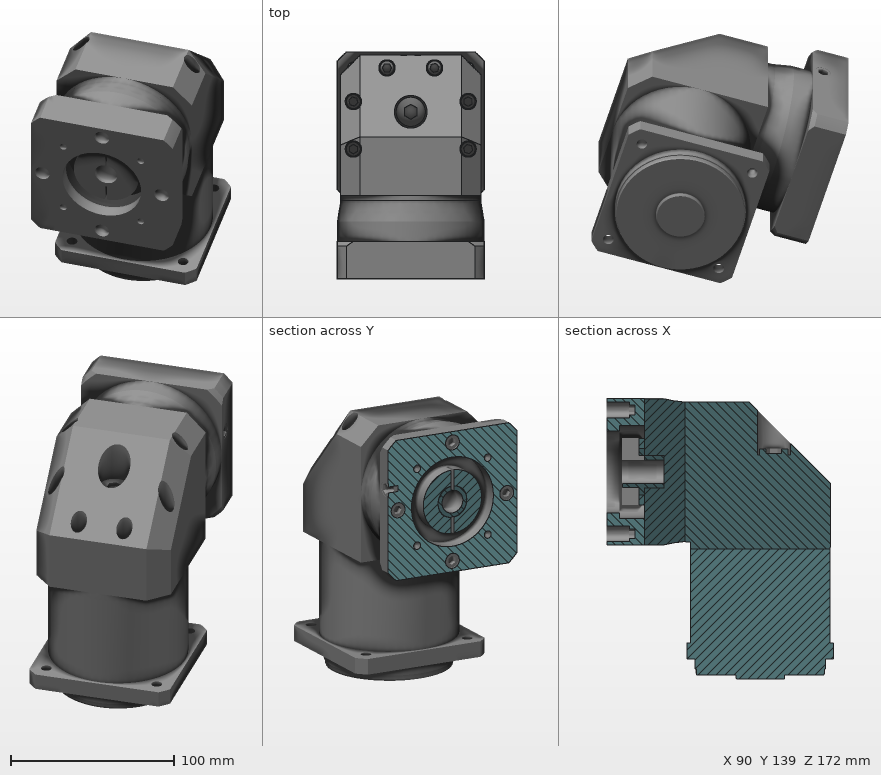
import cadquery as cq
import math


TOTAL_HEIGHT = 172.0
TOTAL_LENGTH = 139.0
FLANGE_SIDE = 90.0
FLANGE_CORNER_RADIUS = 59.7
HOUSING_WIDTH = 86.0
CLEARANCE = 1.7
CORNER_UP = 90

HALF_FLANGE = FLANGE_SIDE / 2
HALF_HOUSING = HOUSING_WIDTH / 2
INPUT_Z = TOTAL_HEIGHT - HALF_FLANGE

SHAFT_RADIUS = 15.0
SHAFT_CHAMFER = 0.7
PILOT_BOTTOM_Z = 2.5
PILOT_END_RADIUS = 39.4
PILOT_CHAMFER_HEIGHT = 1.0
PILOT_CHAMFER_DEPTH = 0.3
PILOT_STEP_Z = 6.2
PILOT_RADIUS = 40.0
FLANGE_BOTTOM_Z = 12.4
FLANGE_TOP_Z = 22.4
FLANGE_HOLE_RADIUS = 3.3
FLANGE_HOLE_OFFSET = 35.3

HOUSING_BOTTOM_Z = INPUT_Z - HALF_HOUSING
HOUSING_TOP_Z = INPUT_Z + HALF_HOUSING
SLOPE_LEG = 50.0
HOUSING_CHAMFER = 12.0
OUTPUT_SPIGOT = 4.1
INPUT_SPIGOT = 3.1
GEARBOX_TOP_Z = HOUSING_BOTTOM_Z - OUTPUT_SPIGOT

SCREW_CIRCLE_RADIUS = 38.0
SCREW_POSITIONS = 8
SCREW_START_ANGLE = 180 / SCREW_POSITIONS
SCREW_COUNT = 6
SCREW_FIRST = -1
SCREW_HOLE_RADIUS = 5.0
SCREW_HEAD_RADIUS = 4.3
SCREW_HEAD_HEIGHT = 5.2
SCREW_SEAT_Z = 111.8
SCREW_HEX = 5.0
SCREW_HEX_DEPTH = 3.5
SCREW_HEX_TURN = 7.5

PLUG_Y = 8.3
PLUG_HOLE_RADIUS = 10.0
PLUG_RADIUS = 9.0
PLUG_SEAT_Z = 137.6
PLUG_HEIGHT = 3.5
PLUG_HEX = 7.9
PLUG_HEX_DEPTH = 2.5

ADAPTER_START = HALF_HOUSING + INPUT_SPIGOT
ADAPTER_RADIUS = 44.9
CONE_START = 47.5
CONE_END = 59.0
PLATE_BACK = 71.0
PLATE_FRONT = TOTAL_LENGTH - HALF_FLANGE
PLATE_CHAMFER_LENGTH = 3.0
PLATE_CHAMFER_DEPTH = 2.5
MOTOR_PILOT_RADIUS = 25.0
MOTOR_PILOT_DEPTH = 8.0
CLAMP_ROOM_RADIUS = 28.4

PLATE_SCREW_CIRCLE_RADIUS = 37.8
PLATE_SCREW_HOLE_RADIUS = 4.6
PLATE_SCREW_SEAT_DEPTH = 13.8
PLATE_SCREW_HEX = 4.8
PLATE_SCREW_HEX_DEPTH = 3.5
TAP_OFFSET = 24.6
TAP_RADIUS = 2.2
TAP_DEPTH = 13.8
DRILL_POINT_ANGLE = 118.0

ACCESS_DISTANCE = 77.7
ACCESS_HEIGHT = 14.0
ACCESS_RADIUS = 5.0
ACCESS_RECESS = 0.2
ACCESS_HEX = 6.0
ACCESS_HEX_DEPTH = 6.9

CLAMP_DEPTH = 9.5
CLAMP_FACE = PLATE_FRONT - CLAMP_DEPTH
COLLAR_RADIUS = 20.5
SLEEVE_RADIUS = 9.8
SLEEVE_BORE_RADIUS = 7.0
SLEEVE_END = CONE_END
SHOULDER_RADIUS = 14.1
SHOULDER_THICKNESS = 3.5
SHOULDER_FACE = PLATE_BACK + SHOULDER_THICKNESS
SLOT_WIDTH = 1.5


def input_plane(distance):
    """Workplane across the input axis, at a distance towards -Y and facing -Y."""
    return cq.Workplane("XZ", origin=(0, -distance, INPUT_Z))


def input_disc(radius, start, end):
    """Cylinder on the input axis between two distances."""
    return input_plane(start).circle(radius).extrude(end - start)


def input_turned(profile):
    """Solid turned around the input axis from (radius, distance) points."""
    points = [(radius, -distance) for radius, distance in profile]
    turned = cq.Workplane("XY").polyline(points).close().revolve(360, (0, 0, 0), (0, 1, 0))
    return turned.translate((0, 0, INPUT_Z))


def hex_socket(plane, flats, depth, corner_angle):
    """Hexagonal prism that goes from a plane against its normal, with a corner at the given angle."""
    corner_diameter = flats / math.cos(math.pi / 6)
    turned = plane.transformed(rotate=(0, 0, corner_angle))
    return turned.polygon(6, corner_diameter).extrude(-depth)


def make_output_gearbox():
    profile = [
        (0, 0),
        (SHAFT_RADIUS - SHAFT_CHAMFER, 0),
        (SHAFT_RADIUS, SHAFT_CHAMFER),
        (SHAFT_RADIUS, PILOT_BOTTOM_Z),
        (PILOT_END_RADIUS - PILOT_CHAMFER_DEPTH, PILOT_BOTTOM_Z),
        (PILOT_END_RADIUS, PILOT_BOTTOM_Z + PILOT_CHAMFER_HEIGHT),
        (PILOT_END_RADIUS, PILOT_STEP_Z),
        (PILOT_RADIUS, PILOT_STEP_Z),
        (PILOT_RADIUS, FLANGE_BOTTOM_Z),
        (HALF_HOUSING, FLANGE_BOTTOM_Z),
        (HALF_HOUSING, GEARBOX_TOP_Z),
        (0, GEARBOX_TOP_Z),
    ]
    turned = cq.Workplane("XZ").polyline(profile).close().revolve(360, (0, 0, 0), (0, 1, 0))

    thickness = FLANGE_TOP_Z - FLANGE_BOTTOM_Z
    base = cq.Workplane("XY", origin=(0, 0, FLANGE_BOTTOM_Z))
    corner_disc = base.circle(FLANGE_CORNER_RADIUS).extrude(thickness)
    flange = base.rect(FLANGE_SIDE, FLANGE_SIDE).extrude(thickness).intersect(corner_disc)
    hole_square = base.rect(2 * FLANGE_HOLE_OFFSET, 2 * FLANGE_HOLE_OFFSET, forConstruction=True)
    holes = hole_square.vertices().circle(FLANGE_HOLE_RADIUS).extrude(thickness)
    return turned.union(flange.cut(holes))


def make_housing_block():
    """Square block with a 45 degree slope at the top rear and a chamfered outline."""
    outline = [
        (-HALF_HOUSING, HOUSING_BOTTOM_Z),
        (HALF_HOUSING, HOUSING_BOTTOM_Z),
        (HALF_HOUSING, HOUSING_TOP_Z - SLOPE_LEG),
        (HALF_HOUSING - SLOPE_LEG, HOUSING_TOP_Z),
        (-HALF_HOUSING, HOUSING_TOP_Z),
    ]
    block = cq.Workplane("YZ").polyline(outline).close().extrude(HALF_HOUSING, both=True)
    rear_and_top = block.faces(">Y or >Z or >(0, 1, 1)")
    return rear_and_top.edges("not |X").chamfer(HOUSING_CHAMFER)


def cap_screw_pocket(x, y, corner_angle):
    """Material removed around one sunk cap screw: the open hole less the head, plus its socket."""
    seat = cq.Workplane("XY", origin=(x, y, SCREW_SEAT_Z))
    hole = seat.circle(SCREW_HOLE_RADIUS).extrude(HOUSING_TOP_Z - SCREW_SEAT_Z)
    head = seat.circle(SCREW_HEAD_RADIUS).extrude(SCREW_HEAD_HEIGHT)
    head_top = seat.workplane(offset=SCREW_HEAD_HEIGHT)
    return hole.cut(head).union(hex_socket(head_top, SCREW_HEX, SCREW_HEX_DEPTH, corner_angle))


def oil_plug_pocket():
    seat = cq.Workplane("XY", origin=(0, PLUG_Y, PLUG_SEAT_Z))
    hole = seat.circle(PLUG_HOLE_RADIUS).extrude(HOUSING_TOP_Z - PLUG_SEAT_Z)
    plug = seat.circle(PLUG_RADIUS).extrude(PLUG_HEIGHT)
    plug_top = seat.workplane(offset=PLUG_HEIGHT)
    return hole.cut(plug).union(hex_socket(plug_top, PLUG_HEX, PLUG_HEX_DEPTH, CORNER_UP))


def make_bevel_housing():
    housing = make_housing_block()
    spigot = cq.Workplane("XY", origin=(0, 0, GEARBOX_TOP_Z)).circle(HALF_HOUSING)
    housing = housing.union(spigot.extrude(OUTPUT_SPIGOT))
    housing = housing.union(input_disc(HALF_HOUSING, HALF_HOUSING, ADAPTER_START))
    for index in range(SCREW_FIRST, SCREW_FIRST + SCREW_COUNT):
        angle = SCREW_START_ANGLE + index * 360 / SCREW_POSITIONS
        x = SCREW_CIRCLE_RADIUS * math.cos(math.radians(angle))
        y = SCREW_CIRCLE_RADIUS * math.sin(math.radians(angle))
        housing = housing.cut(cap_screw_pocket(x, y, angle + SCREW_HEX_TURN))
    return housing.cut(oil_plug_pocket())


def make_adapter():
    profile = [
        (0, ADAPTER_START),
        (HALF_HOUSING, ADAPTER_START),
        (HALF_HOUSING, CONE_START),
        (ADAPTER_RADIUS, CONE_END),
        (ADAPTER_RADIUS, PLATE_BACK),
        (0, PLATE_BACK),
    ]
    sleeve_seat = input_disc(SLEEVE_RADIUS, SLEEVE_END, PLATE_BACK)
    return input_turned(profile).cut(sleeve_seat)


def plate_blank():
    """Square plate with turned corners, relieved by a cone at the rear."""
    square = input_plane(PLATE_BACK).rect(FLANGE_SIDE, FLANGE_SIDE).extrude(PLATE_FRONT - PLATE_BACK)
    corner_profile = [
        (0, PLATE_BACK),
        (FLANGE_CORNER_RADIUS - PLATE_CHAMFER_DEPTH, PLATE_BACK),
        (FLANGE_CORNER_RADIUS, PLATE_BACK + PLATE_CHAMFER_LENGTH),
        (FLANGE_CORNER_RADIUS, PLATE_FRONT),
        (0, PLATE_FRONT),
    ]
    return square.intersect(input_turned(corner_profile))


def plate_screw_pocket(angle):
    """Sunk screw in the plate: round hole down to the head, and the hex socket in the head."""
    x = PLATE_SCREW_CIRCLE_RADIUS * math.cos(math.radians(angle))
    z = PLATE_SCREW_CIRCLE_RADIUS * math.sin(math.radians(angle))
    head = input_plane(PLATE_FRONT - PLATE_SCREW_SEAT_DEPTH).center(x, z)
    hole = head.circle(PLATE_SCREW_HOLE_RADIUS).extrude(PLATE_SCREW_SEAT_DEPTH)
    return hole.union(hex_socket(head, PLATE_SCREW_HEX, PLATE_SCREW_HEX_DEPTH, angle))


def tapped_hole(x, z):
    """Blind drilled hole from the plate front, with a conical end."""
    point_depth = TAP_RADIUS / math.tan(math.radians(DRILL_POINT_ANGLE / 2))
    profile = [
        (0, PLATE_FRONT),
        (TAP_RADIUS, PLATE_FRONT),
        (TAP_RADIUS, PLATE_FRONT - TAP_DEPTH),
        (0, PLATE_FRONT - TAP_DEPTH - point_depth),
    ]
    return input_turned(profile).translate((x, 0, z))


def access_plug_pocket():
    """Shallow round recess and hex socket of the plug in the -X side."""
    side = cq.Workplane("YZ", origin=(-HALF_FLANGE, -ACCESS_DISTANCE, INPUT_Z + ACCESS_HEIGHT))
    recess = side.circle(ACCESS_RADIUS).extrude(ACCESS_RECESS)
    socket_floor = side.workplane(offset=ACCESS_HEX_DEPTH)
    return recess.union(hex_socket(socket_floor, ACCESS_HEX, ACCESS_HEX_DEPTH, CORNER_UP))


def make_motor_plate():
    pilot_floor = PLATE_FRONT - MOTOR_PILOT_DEPTH
    plate = plate_blank()
    plate = plate.cut(input_disc(MOTOR_PILOT_RADIUS, pilot_floor, PLATE_FRONT))
    plate = plate.cut(input_disc(CLAMP_ROOM_RADIUS, PLATE_BACK, pilot_floor))
    for angle in (0, 90, 180, 270):
        plate = plate.cut(plate_screw_pocket(angle))
    for x in (-TAP_OFFSET, TAP_OFFSET):
        for z in (-TAP_OFFSET, TAP_OFFSET):
            plate = plate.cut(tapped_hole(x, z))
    return plate.cut(access_plug_pocket())


def clamp_slot(end, bottom, top):
    """Narrow slot from the clamp face back to a distance, between two heights from the input axis."""
    length = CLAMP_FACE - end
    middle = (bottom + top) / 2
    return input_plane(end).center(0, middle).rect(SLOT_WIDTH, top - bottom).extrude(length)


def make_clamp_collar():
    """Ring around the sleeve, slotted above and below; its rear counterbore takes the shoulder."""
    collar = input_disc(COLLAR_RADIUS, PLATE_BACK, CLAMP_FACE)
    collar = collar.cut(input_disc(SLEEVE_RADIUS, PLATE_BACK, CLAMP_FACE))
    collar = collar.cut(input_disc(SHOULDER_RADIUS, PLATE_BACK, SHOULDER_FACE))
    reach = COLLAR_RADIUS + CLEARANCE
    return collar.cut(clamp_slot(SHOULDER_FACE, -reach, reach))


def make_input_sleeve():
    """Tube with a shoulder, open towards the motor and slit along its top."""
    tube = input_disc(SLEEVE_RADIUS, SLEEVE_END, CLAMP_FACE)
    tube = tube.cut(clamp_slot(PLATE_BACK, 0, SLEEVE_RADIUS + CLEARANCE))
    shoulder = input_disc(SHOULDER_RADIUS, PLATE_BACK, SHOULDER_FACE)
    shoulder = shoulder.cut(input_disc(SLEEVE_RADIUS, PLATE_BACK, SHOULDER_FACE))
    bore = input_disc(SLEEVE_BORE_RADIUS, SLEEVE_END, CLAMP_FACE)
    return tube.union(shoulder).cut(bore)


output_gearbox = make_output_gearbox()
bevel_housing = make_bevel_housing()
adapter = make_adapter()
motor_plate = make_motor_plate()
clamp_collar = make_clamp_collar()
input_sleeve = make_input_sleeve()

result = cq.Compound.makeCompound([
    output_gearbox.val(),
    bevel_housing.val(),
    adapter.val(),
    motor_plate.val(),
    clamp_collar.val(),
    input_sleeve.val(),
])